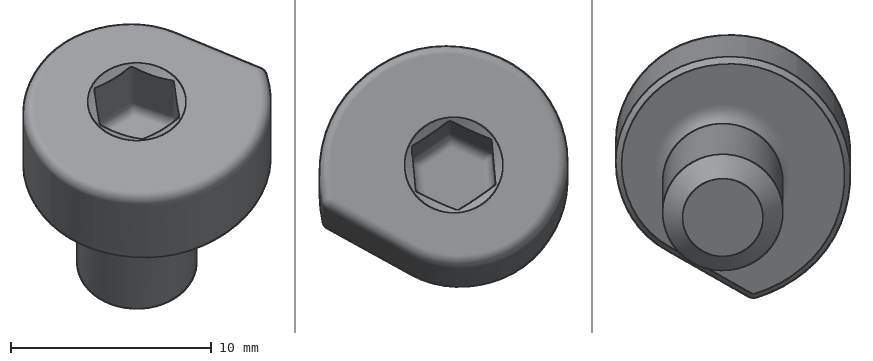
import cadquery as cq
import math

total_height = 14.0
head_bottom = 9.0
head_height = total_height - head_bottom

cam_start_angle = 90.0
cam_end_angle = 402.6
cam_start_radius = 5.0
cam_end_radius = 6.8
cam_growth = (cam_end_radius - cam_start_radius) / math.radians(cam_end_angle - cam_start_angle)
cam_arcs = 12
head_fillet = 0.5
head_bottom_chamfer = 0.3

shank_radius = 3.0
shank_top = 7.0
tip_chamfer = 1.0
neck_radius = 2.41
neck_upper_fillet = 1.0
neck_lower_fillet = 0.43

hex_across_flats = 4.0
socket_depth = 3.5
socket_floor_fillet = 0.5
socket_corner_fillet = 0.2
countersink_radius = 2.45
countersink_depth = 1.41


def cam_point(angle):
    """Point on the cam spiral at an angle in degrees."""
    radius = cam_start_radius + cam_growth * math.radians(angle - cam_start_angle)
    return (radius * math.cos(math.radians(angle)), radius * math.sin(math.radians(angle)))


def make_head():
    """Spiral cam closed by a flat tangent to its start, with rounded top and chamfered bottom."""
    step = (cam_end_angle - cam_start_angle) / cam_arcs
    spiral = [cam_point(cam_start_angle + i * step) for i in range(cam_arcs + 1)]
    outline = cq.Workplane("XY").workplane(offset=head_bottom).moveTo(*spiral[-1]).lineTo(*spiral[0])
    for point in spiral[1:]:
        outline = outline.tangentArcPoint(point, relative=False)
    head = outline.close().extrude(head_height)
    corner = cq.selectors.NearestToPointSelector((*spiral[-1], head_bottom + head_height / 2))
    head = head.edges("|Z").edges(corner).fillet(head_fillet)
    head = head.faces("<Z").chamfer(head_bottom_chamfer)
    return head.faces(">Z").edges().fillet(head_fillet)


def make_shank():
    """Turned shank with a chamfered tip and a relief groove with rounded ends."""
    diagonal = math.sqrt(0.5)
    blend_radius = neck_radius + neck_lower_fillet * (1 - diagonal)
    blend_bottom = shank_top + shank_radius - blend_radius
    neck_bottom = blend_bottom + neck_lower_fillet * diagonal
    neck_top = head_bottom - neck_upper_fillet
    lower_mid_angle = math.radians(45 / 2)
    lower_mid = (
        neck_radius + neck_lower_fillet * (1 - math.cos(lower_mid_angle)),
        neck_bottom - neck_lower_fillet * math.sin(lower_mid_angle),
    )
    upper_mid = (
        neck_radius + neck_upper_fillet * (1 - diagonal),
        neck_top + neck_upper_fillet * diagonal,
    )
    return (
        cq.Workplane("XZ")
        .lineTo(shank_radius - tip_chamfer, 0)
        .lineTo(shank_radius, tip_chamfer)
        .lineTo(shank_radius, shank_top)
        .lineTo(blend_radius, blend_bottom)
        .threePointArc(lower_mid, (neck_radius, neck_bottom))
        .lineTo(neck_radius, neck_top)
        .threePointArc(upper_mid, (neck_radius + neck_upper_fillet, head_bottom))
        .lineTo(0, head_bottom)
        .close()
        .revolve(360, (0, 0, 0), (0, 1, 0))
    )


def make_socket():
    """Hexagonal recess with a rounded floor edge and a conical lead-in."""
    across_corners = hex_across_flats / math.cos(math.pi / 6)
    recess = (
        cq.Workplane("XY")
        .workplane(offset=total_height - socket_depth)
        .polygon(6, across_corners)
        .extrude(socket_depth)
        .edges("|Z")
        .fillet(socket_corner_fillet)
        .faces("<Z")
        .edges()
        .fillet(socket_floor_fillet)
    )
    lead_in = (
        cq.Workplane("XZ")
        .moveTo(0, total_height)
        .lineTo(countersink_radius, total_height)
        .lineTo(0, total_height - countersink_depth)
        .close()
        .revolve(360, (0, 0, 0), (0, 1, 0))
    )
    return recess.union(lead_in)


result = make_head().union(make_shank()).cut(make_socket())